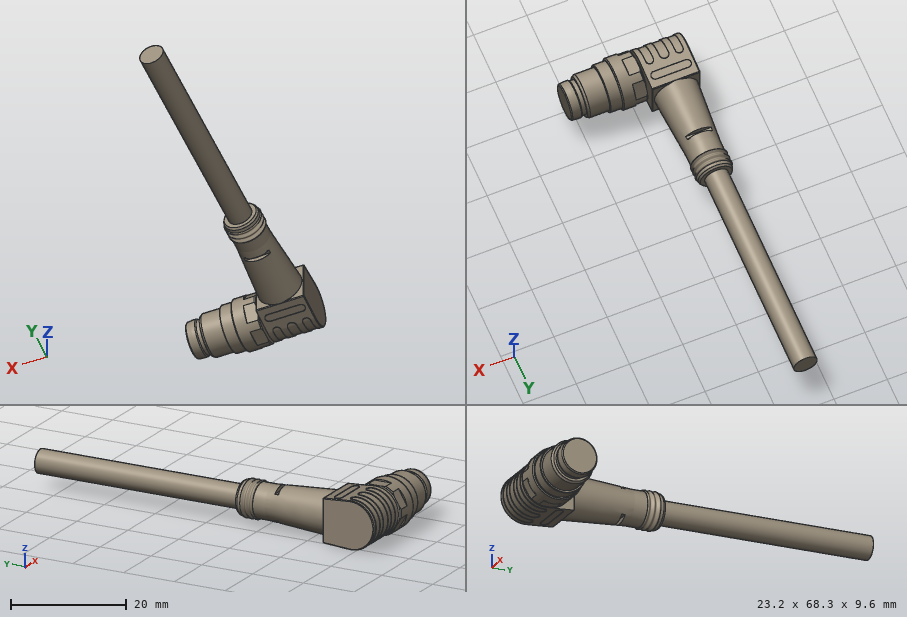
import cadquery as cq
import math


CABLE_DIA = 4.4
CABLE_END = 63.5

BOOT_DIA = 6.5
BOOT_BASE_DIA = 8.23
BOOT_END = 23.5
BOOT_CHAMFER_LENGTH = 0.4
BOOT_CHAMFER_DEPTH = 0.25
BOOT_CONE_END = 17.6
RIDGE_COUNT = 3
RIDGE_PITCH = 1.0
RIDGE_DIA = 7.0
RIDGE_FIRST_Y = 20.25
RIDGE_WAVE_HEIGHT = 0.36
SLIT_Y = 15.8
SLIT_WIDTH = 0.65
SLIT_FLOOR_Z = 2.42

BODY_HALF_LENGTH = 4.5
BODY_RADIUS = 4.5
BODY_BACK = 5.55
BODY_TAPER = math.radians(4)
BODY_CHAMFER = 0.15

GROOVE_DEPTH = 0.12
GROOVE_PITCH = 2.78
GROOVE_WIDTH = 1.45
MIDDLE_GROOVE_WIDTH = 1.7
GROOVE_TIP_Y = 0.88

RECESS_LENGTH = 7.5
RECESS_WIDTH = 1.5
RECESS_Y = 3.2
RECESS_DEPTH = 0.1

NECK_DIA = 5.9
NUT_START = 4.95
NUT_DIA = 9.6
NUT_CHAMFER = 0.2
NUT_END = 9.6
FLATS_COUNT = 6
FLATS_WIDTH = 9.0
FLATS_END = 7.2
COLLAR_DIA = 8.8
COLLAR_CHAMFER = 0.1
COLLAR_END = 11.85
SLEEVE_DIA = 8.0
SLEEVE_TAPER_START = 15.45
SLEEVE_END = 15.9
SLEEVE_END_DIA = 7.4
TIP_DIA = 6.5
TIP_RING_DIA = 6.9
TIP_RING_START = 16.67
TIP_RING_RAMP = 0.2
TIP_RING_END = 17.5
TIP_CHAMFER = 0.2
TIP_END = 18.7


def housing_block(inset):
    """Block with a round front and sides narrowing towards the back, all moved inwards by inset."""
    radius = BODY_RADIUS - inset
    tangent_y = radius * math.sin(BODY_TAPER)
    tangent_z = radius * math.cos(BODY_TAPER)
    back_z = tangent_z - (BODY_BACK - tangent_y) * math.tan(BODY_TAPER)
    return (
        cq.Workplane("YZ", origin=(-BODY_HALF_LENGTH, 0, 0))
        .moveTo(BODY_BACK, back_z)
        .lineTo(tangent_y, tangent_z)
        .threePointArc((-radius, 0), (tangent_y, -tangent_z))
        .lineTo(BODY_BACK, -back_z)
        .close()
        .extrude(2 * BODY_HALF_LENGTH)
    )


def groove_outline(x, width):
    """Upright block with a round end, limiting one grip groove to the front of the housing."""
    half = width / 2
    straight_end = GROOVE_TIP_Y - half
    front = -2 * BODY_RADIUS
    return (
        cq.Workplane("XY", origin=(x, 0, -BODY_RADIUS))
        .moveTo(-half, front)
        .lineTo(-half, straight_end)
        .threePointArc((0, GROOVE_TIP_Y), (half, straight_end))
        .lineTo(half, front)
        .close()
        .extrude(2 * BODY_RADIUS)
    )


def make_housing():
    housing = housing_block(0).faces("<X or >Y").edges().chamfer(BODY_CHAMFER)

    groove_shell = housing_block(0).cut(housing_block(GROOVE_DEPTH))
    grooves = (
        (-GROOVE_PITCH, GROOVE_WIDTH),
        (0, MIDDLE_GROOVE_WIDTH),
        (GROOVE_PITCH, GROOVE_WIDTH),
    )
    for x, width in grooves:
        housing = housing.cut(groove_shell.intersect(groove_outline(x, width)))

    recess_outline = (
        cq.Workplane("XY", origin=(0, RECESS_Y, -BODY_RADIUS))
        .slot2D(RECESS_LENGTH, RECESS_WIDTH)
        .extrude(2 * BODY_RADIUS)
    )
    recess_shell = housing_block(0).cut(housing_block(RECESS_DEPTH))
    return housing.cut(recess_shell.intersect(recess_outline))


def make_boot():
    radius = BOOT_DIA / 2
    peak = RIDGE_DIA / 2
    valley = peak - RIDGE_WAVE_HEIGHT
    middle = (peak + valley) / 2
    quarter = RIDGE_PITCH / 4

    wave_start = RIDGE_FIRST_Y - quarter
    wave_end = RIDGE_FIRST_Y + (RIDGE_COUNT - 1) * RIDGE_PITCH + quarter
    wave = []
    for index in range(RIDGE_COUNT):
        peak_y = RIDGE_FIRST_Y + index * RIDGE_PITCH
        wave.append((peak, peak_y))
        if index < RIDGE_COUNT - 1:
            wave.append((valley, peak_y + RIDGE_PITCH / 2))
    wave.append((middle, wave_end))

    boot = (
        cq.Workplane("XY")
        .lineTo(BOOT_BASE_DIA / 2, 0)
        .lineTo(BOOT_BASE_DIA / 2, BODY_BACK)
        .lineTo(radius, BOOT_CONE_END)
        .lineTo(radius, wave_start)
        .lineTo(middle, wave_start)
        .spline(wave, includeCurrent=True)
        .lineTo(radius, BOOT_END - BOOT_CHAMFER_LENGTH)
        .lineTo(radius - BOOT_CHAMFER_DEPTH, BOOT_END)
        .lineTo(0, BOOT_END)
        .close()
        .revolve(360, (0, 0, 0), (0, 1, 0))
    )

    slit_height = BOOT_DIA
    for side in (-1, 1):
        slit = cq.Workplane("XY").box(2 * BOOT_DIA, SLIT_WIDTH, slit_height)
        boot = boot.cut(slit.translate((0, SLIT_Y, side * (SLIT_FLOOR_Z + slit_height / 2))))
    return boot


def make_cable():
    return cq.Workplane("XZ").circle(CABLE_DIA / 2).extrude(-CABLE_END)


def make_plug():
    outline = [
        (0, 0),
        (0, NECK_DIA / 2),
        (NUT_START, NECK_DIA / 2),
        (NUT_START, NUT_DIA / 2 - NUT_CHAMFER),
        (NUT_START + NUT_CHAMFER, NUT_DIA / 2),
        (NUT_END - NUT_CHAMFER, NUT_DIA / 2),
        (NUT_END, NUT_DIA / 2 - NUT_CHAMFER),
        (NUT_END, COLLAR_DIA / 2),
        (COLLAR_END - COLLAR_CHAMFER, COLLAR_DIA / 2),
        (COLLAR_END, COLLAR_DIA / 2 - COLLAR_CHAMFER),
        (COLLAR_END, SLEEVE_DIA / 2),
        (SLEEVE_TAPER_START, SLEEVE_DIA / 2),
        (SLEEVE_END, SLEEVE_END_DIA / 2),
        (SLEEVE_END, TIP_DIA / 2),
        (TIP_RING_START, TIP_DIA / 2),
        (TIP_RING_START + TIP_RING_RAMP, TIP_RING_DIA / 2),
        (TIP_RING_END, TIP_RING_DIA / 2),
        (TIP_END - TIP_CHAMFER, TIP_DIA / 2 + TIP_CHAMFER / 2),
        (TIP_END, TIP_DIA / 2 - TIP_CHAMFER / 2),
        (TIP_END, 0),
    ]
    plug = cq.Workplane("XY").polyline(outline).close().revolve(360, (0, 0, 0), (1, 0, 0))

    flat_length = FLATS_END - NUT_START
    flat_centre_x = (NUT_START + FLATS_END) / 2
    flat_cutter = cq.Workplane("XY").box(flat_length, NUT_DIA, NUT_DIA)
    flat_cutter = flat_cutter.translate((flat_centre_x, 0, (FLATS_WIDTH + NUT_DIA) / 2))
    for index in range(FLATS_COUNT):
        angle = index * 360 / FLATS_COUNT
        plug = plug.cut(flat_cutter.rotate((0, 0, 0), (1, 0, 0), angle))
    return plug


result = make_housing().union(make_boot()).union(make_cable()).union(make_plug())